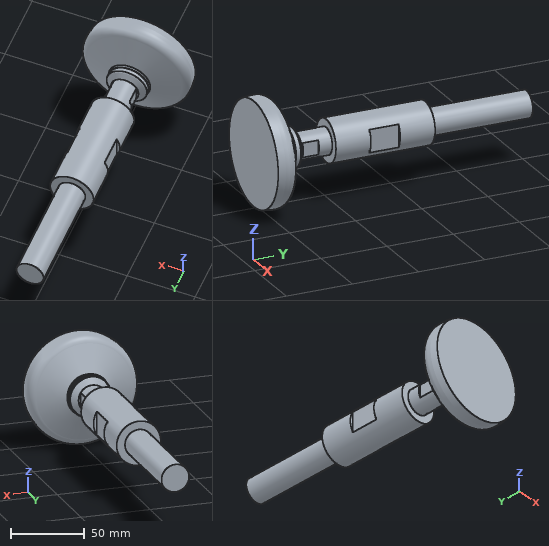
import cadquery as cq

total_length = 206.5

spindle_diameter = 20.0
spindle_radius = spindle_diameter / 2
spindle_flat_start = 32.8
spindle_flat_length = 12.0
spindle_across_flats = 17.0

foot_radius = 80.0 / 2
base_radius = 39.2
rim_bottom = 5.5
rim_top = 8.7
cone_bottom = 15.5
cone_bottom_radius = 34.7
cone_top = 23.5
cone_top_radius = 15.3

groove_radius = 14.5
collar_bottom = 25.2
collar_radius = 14.9
collar_shoulder = 28.7
collar_edge_break = 0.8
collar_top = 32.0

sleeve_diameter = 32.0
sleeve_start = 54.7
sleeve_length = 75.0
sleeve_flat_length = 22.0
sleeve_across_flats = 27.0
sleeve_flat_start = sleeve_start + (sleeve_length - sleeve_flat_length) / 2


def cylinder_along_y(diameter, start, length):
    """Solid cylinder on the Y axis, from start towards +Y."""
    base = cq.Workplane("XZ", origin=(0, start, 0))
    return base.circle(diameter / 2).extrude(-length)


def cut_flats(body, diameter, across_flats, start, length):
    """Cut two opposite wrench flats on the -X and +X sides."""
    depth = (diameter - across_flats) / 2
    for side in (-1, 1):
        cutter_x = side * (across_flats + depth) / 2
        middle_y = start + length / 2
        cutter = cq.Workplane("XY").box(depth, length, diameter)
        body = body.cut(cutter.translate((cutter_x, middle_y, 0)))
    return body


def make_spindle_with_foot():
    """Foot pad, collar and spindle turned from one profile."""
    profile = (
        cq.Workplane("XY")
        .lineTo(base_radius, 0)
        .lineTo(foot_radius, rim_bottom)
        .lineTo(foot_radius, rim_top)
        .tangentArcPoint((cone_bottom_radius, cone_bottom), relative=False)
        .lineTo(cone_top_radius, cone_top)
        .lineTo(groove_radius, collar_bottom)
        .lineTo(collar_radius, collar_bottom)
        .lineTo(collar_radius, collar_shoulder)
        .lineTo(collar_radius - collar_edge_break, collar_shoulder + collar_edge_break)
        .lineTo(spindle_radius, collar_top)
        .lineTo(spindle_radius, total_length)
        .lineTo(0, total_length)
        .close()
    )
    body = profile.revolve(360, (0, 0, 0), (0, 1, 0))
    return cut_flats(
        body, spindle_diameter, spindle_across_flats, spindle_flat_start, spindle_flat_length
    )


def make_sleeve():
    """Tubular sleeve around the spindle, with its own wrench flats."""
    body = cylinder_along_y(sleeve_diameter, sleeve_start, sleeve_length)
    body = body.cut(cylinder_along_y(spindle_diameter, sleeve_start, sleeve_length))
    return cut_flats(
        body, sleeve_diameter, sleeve_across_flats, sleeve_flat_start, sleeve_flat_length
    )


spindle_with_foot = make_spindle_with_foot()
sleeve = make_sleeve()

result = cq.Compound.makeCompound([spindle_with_foot.val(), sleeve.val()])